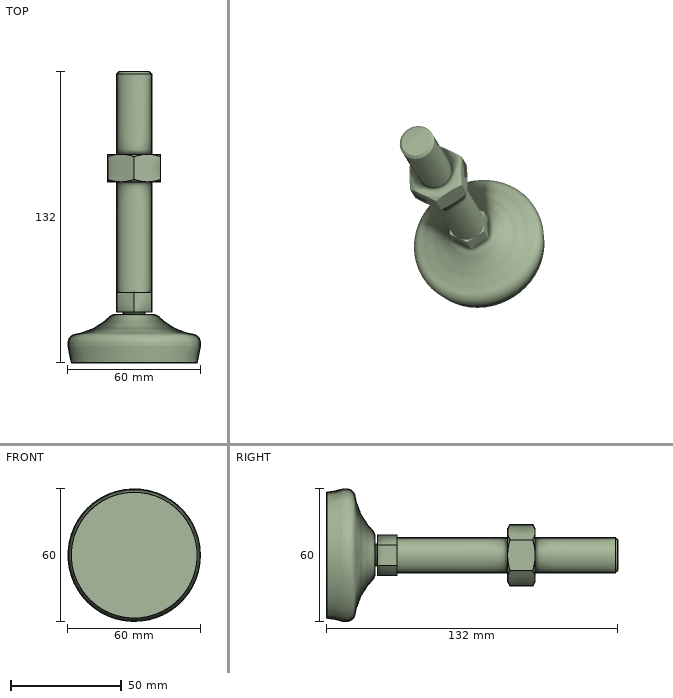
import cadquery as cq
import math

FLOOR_Y = 0.0

PAD_FLOOR_RADIUS = 28.5
PAD_RIM_RADIUS = 30.0
RIM_START = 7.5
RIM_END = 9.0
SHOULDER_RADIUS = 4.0
PAD_TOP = 22.0
PAD_TOP_RADIUS = 8.0
COLLAR_RADIUS = 5.0

NECK_RADIUS = 5.0
NECK_LENGTH = 1.0

SPINDLE_DIAMETER = 16.0
WRENCH_FLATS = 16.0
WRENCH_LENGTH = 9.0
SPINDLE_TIP = 132.0
TIP_CHAMFER = 1.2

NUT_FLATS = 24.0
NUT_START = 82.0
NUT_HEIGHT = 12.5
NUT_FACE_RADIUS = 12.0
NUT_CHAMFER_ANGLE = 30.0

wrench_start = PAD_TOP + NECK_LENGTH
wrench_end = wrench_start + WRENCH_LENGTH


def plane_at(y):
    """Plane normal to +Y at height y, with its local x along the global Z axis."""
    return cq.Plane(origin=(0, y, 0), xDir=(0, 0, 1), normal=(0, 1, 0))


def cylinder(radius, start, end):
    return cq.Workplane(plane_at(start)).circle(radius).extrude(end - start)


def hexagon(flats, start, height):
    """Hexagonal prism with two of its corners on the Z axis."""
    corner_diameter = flats / math.cos(math.pi / 6)
    return cq.Workplane(plane_at(start)).polygon(6, corner_diameter).extrude(height)


def revolve_about_y(profile):
    return profile.close().revolve(360, (0, 0, 0), (0, 1, 0))


def arc_point(center, radius, angle):
    return (center[0] + radius * math.cos(angle), center[1] + radius * math.sin(angle))


def make_pad():
    """Pad with a tapered rim, a rounded shoulder, a concave flank and a rounded collar.

    The collar arc turns from level to 45 degrees, where the flank arc takes over and runs
    tangent into the shoulder arc.
    """
    cos45 = math.sqrt(0.5)
    collar_center = (PAD_TOP_RADIUS, PAD_TOP - COLLAR_RADIUS)
    shoulder_center = (PAD_RIM_RADIUS - SHOULDER_RADIUS, RIM_END)
    flank_start = arc_point(collar_center, COLLAR_RADIUS, math.radians(45))
    collar_middle = arc_point(collar_center, COLLAR_RADIUS, math.radians((45 + 90) / 2))

    dx = flank_start[0] - shoulder_center[0]
    dy = flank_start[1] - shoulder_center[1]
    along_normal = (dx + dy) * cos45
    flank_radius = (dx**2 + dy**2 - SHOULDER_RADIUS**2) / (2 * (SHOULDER_RADIUS - along_normal))
    flank_center = (flank_start[0] + flank_radius * cos45, flank_start[1] + flank_radius * cos45)

    join_angle = math.atan2(flank_center[1] - shoulder_center[1], flank_center[0] - shoulder_center[0])
    flank_middle_angle = (math.radians(180 + 45) + math.pi + join_angle) / 2
    flank_middle = arc_point(flank_center, flank_radius, flank_middle_angle)
    shoulder_middle = arc_point(shoulder_center, SHOULDER_RADIUS, join_angle / 2)
    shoulder_end = arc_point(shoulder_center, SHOULDER_RADIUS, join_angle)

    profile = (
        cq.Workplane("XY")
        .moveTo(0, FLOOR_Y)
        .lineTo(PAD_FLOOR_RADIUS, FLOOR_Y)
        .lineTo(PAD_RIM_RADIUS, RIM_START)
        .lineTo(PAD_RIM_RADIUS, RIM_END)
        .threePointArc(shoulder_middle, shoulder_end)
        .threePointArc(flank_middle, flank_start)
        .threePointArc(collar_middle, (PAD_TOP_RADIUS, PAD_TOP))
        .lineTo(0, PAD_TOP)
    )
    return revolve_about_y(profile)


def make_spindle():
    """Neck, wrench hexagon and rod with a chamfered tip."""
    neck = cylinder(NECK_RADIUS, PAD_TOP, wrench_start)
    wrench = hexagon(WRENCH_FLATS, wrench_start, WRENCH_LENGTH)
    rod = cylinder(SPINDLE_DIAMETER / 2, wrench_end, SPINDLE_TIP).faces(">Y").chamfer(TIP_CHAMFER)
    return neck.union(wrench).union(rod)


def make_nut():
    """Hexagonal nut whose corners are cut by a cone at both ends."""
    nut_end = NUT_START + NUT_HEIGHT
    corner_radius = NUT_FLATS / 2 / math.cos(math.pi / 6)
    cone_height = (corner_radius - NUT_FACE_RADIUS) * math.tan(math.radians(NUT_CHAMFER_ANGLE))
    envelope = (
        cq.Workplane("XY")
        .moveTo(0, NUT_START)
        .lineTo(NUT_FACE_RADIUS, NUT_START)
        .lineTo(corner_radius, NUT_START + cone_height)
        .lineTo(corner_radius, nut_end - cone_height)
        .lineTo(NUT_FACE_RADIUS, nut_end)
        .lineTo(0, nut_end)
    )
    return hexagon(NUT_FLATS, NUT_START, NUT_HEIGHT).intersect(revolve_about_y(envelope))


result = make_pad().union(make_spindle()).union(make_nut())